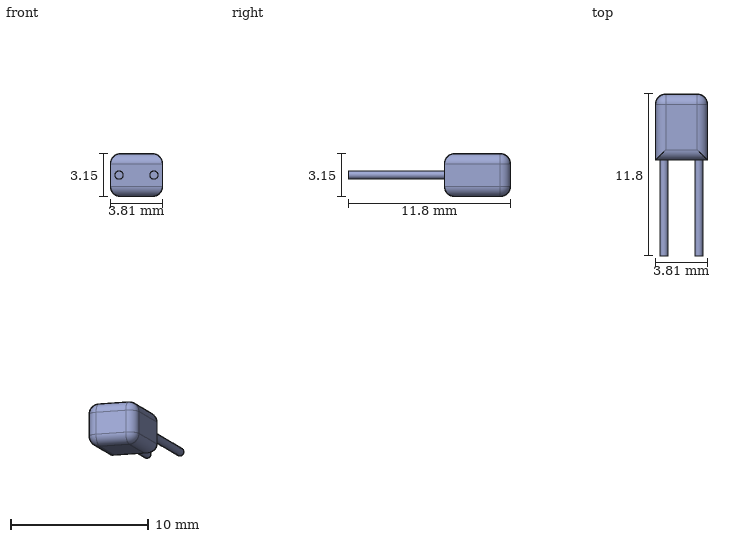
import cadquery as cq

TOTAL_LENGTH = 11.82
BODY_WIDTH = 3.81
BODY_THICKNESS = 3.15
EDGE_RADIUS = 0.76

LEAD_LENGTH = 7.0
LEAD_DIAMETER = 0.6
LEAD_PITCH = 2.54

BODY_LENGTH = TOTAL_LENGTH - LEAD_LENGTH


def make_body():
    """Capacitor body with its lead face at Y = 0, centred on X and Z.

    Every edge is rounded except the two upright ones beside the lead face,
    where the roundings of neighbouring faces meet in a sharp mitre.
    """
    block = cq.Workplane("XY").box(
        BODY_WIDTH, BODY_LENGTH, BODY_THICKNESS, centered=(True, False, True)
    )
    back_uprights_rounded = block.faces(">Y").edges("|Z").fillet(EDGE_RADIUS)
    return back_uprights_rounded.faces(">Z or <Z").edges().fillet(EDGE_RADIUS)


def make_lead(x_position):
    """Round wire running from the lead face of the body towards -Y."""
    return (
        cq.Workplane("XZ")
        .center(x_position, 0)
        .circle(LEAD_DIAMETER / 2)
        .extrude(LEAD_LENGTH)
    )


body = make_body()
leads = [make_lead(side * LEAD_PITCH / 2) for side in (-1, 1)]

result = cq.Compound.makeCompound([body.solids().val(), *[lead.val() for lead in leads]])